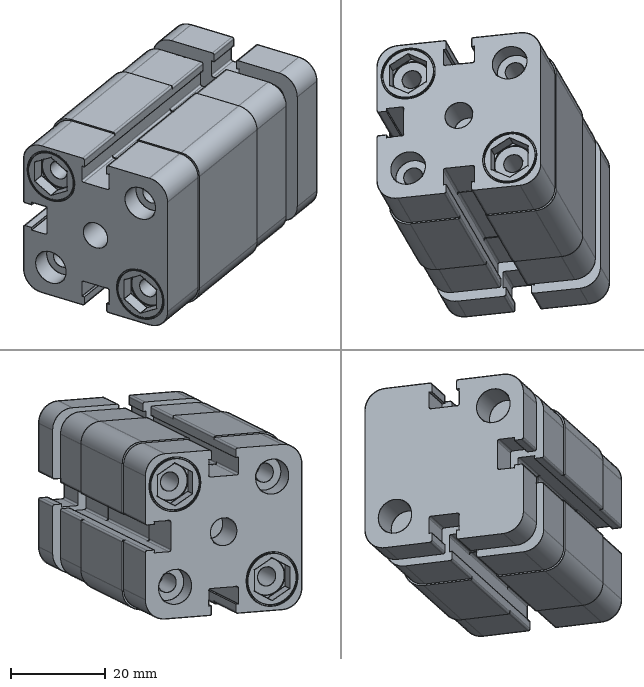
import cadquery as cq

total_length = 60.5
cap_length = 12.35
sleeve_length = 23.35
plate_thickness = 8.0
body_length = 2 * cap_length + sleeve_length
plate_start = total_length - plate_thickness
gap = plate_start - body_length

sleeve_width = 36.1
cap_width = 35.5
corner_radius = 4.5

slot_mouth_width = 5.5
slot_inner_width = 6.7
slot_lip_height = 15.7
cap_slot_floor = 12.0
sleeve_slot_floor = 11.8
slot_radius = 0.4

hole_offset = 11.0
through_diameter = 4.1
plug_diameter = 11.0
plug_seat_diameter = 11.7
plug_groove_depth = 0.3
hex_flats = 8.0
hex_depth = 2.8
socket_depth = 3.15
corner_bore_diameter = 7.5
corner_bore_depth = 4.5
centre_hole_diameter = 6.0
centre_hole_depth = 8.0

piston_diameter = 10.0
piston_flats = 8.0
piston_tip_rounding = 1.2
flat_runout = 1.15
guide_diameter = 5.0
guide_offset = 12.0

screw_corners = [(-hole_offset, hole_offset), (hole_offset, -hole_offset)]
bore_corners = [(-hole_offset, -hole_offset), (hole_offset, hole_offset)]
guide_corners = [(-guide_offset, -guide_offset), (guide_offset, guide_offset)]


def plane_at(y):
    """XZ sketch plane at the given Y; extrusions run towards +Y."""
    return cq.Workplane(cq.Plane(origin=(0, y, 0), xDir=(1, 0, 0), normal=(0, -1, 0)))


def cylinder(x, z, diameter, start, length):
    return plane_at(start).center(x, z).circle(diameter / 2).extrude(-length)


def slot_cutter(width, floor, start, length):
    """T-slot open to +Z, with rounded mouth edges and floor corners."""
    top = width / 2
    mouth = slot_mouth_width / 2
    inner = slot_inner_width / 2
    flare = mouth + slot_radius
    shift = slot_radius * (1 - 0.5 ** 0.5)
    return (
        plane_at(start)
        .moveTo(-flare, top)
        .threePointArc((-mouth - shift, top - shift), (-mouth, top - slot_radius))
        .lineTo(-mouth, slot_lip_height)
        .lineTo(-inner, slot_lip_height)
        .lineTo(-inner, floor + slot_radius)
        .threePointArc((-inner + shift, floor + shift), (-inner + slot_radius, floor))
        .lineTo(inner - slot_radius, floor)
        .threePointArc((inner - shift, floor + shift), (inner, floor + slot_radius))
        .lineTo(inner, slot_lip_height)
        .lineTo(mouth, slot_lip_height)
        .lineTo(mouth, top - slot_radius)
        .threePointArc((mouth + shift, top - shift), (flare, top))
        .close()
        .extrude(-length)
    )


def slotted_block(width, floor, start, length):
    """Rounded square block with slots on three sides; the +X side stays plain."""
    block = plane_at(start).rect(width, width).extrude(-length).edges("|Y").fillet(corner_radius)
    cutter = slot_cutter(width, floor, start, length)
    for angle in (0, 180, -90):
        block = block.cut(cutter.rotate((0, 0, 0), (0, 1, 0), angle))
    return block


def piston_rod():
    """Rod with a rounded tip at the plate and two flats that slope out to full diameter."""
    radius = piston_diameter / 2
    flat = piston_flats / 2
    rod = cylinder(0, 0, piston_diameter, body_length, gap)
    rod = rod.faces(">Y").edges().fillet(piston_tip_rounding)
    envelope = (
        cq.Workplane("XY")
        .moveTo(-radius, body_length)
        .lineTo(radius, body_length)
        .lineTo(flat, body_length + flat_runout)
        .lineTo(flat, plate_start)
        .lineTo(-flat, plate_start)
        .lineTo(-flat, body_length + flat_runout)
        .close()
        .extrude(radius, both=True)
    )
    return rod.intersect(envelope)


def hex_socket(x, z):
    """Hexagonal recess with corners pointing along Z."""
    corner_diameter = hex_flats * 2 / 3 ** 0.5
    hexagon = plane_at(0).polygon(6, corner_diameter).extrude(-hex_depth)
    return hexagon.rotate((0, 0, 0), (0, 1, 0), 90).translate((x, 0, z))


body = slotted_block(cap_width, cap_slot_floor, 0, cap_length)
body = body.union(slotted_block(sleeve_width, sleeve_slot_floor, cap_length, sleeve_length))
body = body.union(slotted_block(cap_width, cap_slot_floor, cap_length + sleeve_length, cap_length))
plate = slotted_block(cap_width, cap_slot_floor, plate_start, plate_thickness)

for x, z in screw_corners:
    groove = cylinder(x, z, plug_seat_diameter, 0, plug_groove_depth)
    body = body.cut(groove.cut(cylinder(x, z, plug_diameter, 0, plug_groove_depth)))
    body = body.cut(hex_socket(x, z))
    body = body.cut(cylinder(x, z, hex_flats, 0, socket_depth))
    body = body.cut(cylinder(x, z, through_diameter, 0, body_length))
    plate = plate.cut(cylinder(x, z, corner_bore_diameter, plate_start, plate_thickness))

for x, z in bore_corners:
    body = body.cut(cylinder(x, z, corner_bore_diameter, 0, corner_bore_depth))
    body = body.cut(cylinder(x, z, through_diameter, 0, cap_length))
body = body.cut(cylinder(0, 0, centre_hole_diameter, 0, centre_hole_depth))

result = body.union(plate).union(piston_rod())
for x, z in guide_corners:
    result = result.union(cylinder(x, z, guide_diameter, body_length, gap))